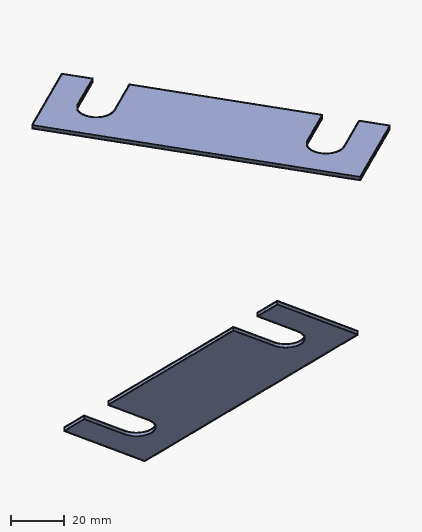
import cadquery as cq

length = 127.0
width = 38.1
thickness = 1.5

slot_width = 14.2
slot_spacing = 88.9
slot_center_depth = width / 2


def open_slot(center_x):
    """Cutter for one slot: a round end joined to a straight run out to the +Y edge."""
    center_y = width / 2 - slot_center_depth
    round_end = cq.Workplane("XY").center(center_x, center_y).circle(slot_width / 2).extrude(thickness)
    straight_run = (
        cq.Workplane("XY")
        .center(center_x, center_y + slot_center_depth / 2)
        .rect(slot_width, slot_center_depth)
        .extrude(thickness)
    )
    return round_end.union(straight_run)


result = cq.Workplane("XY").rect(length, width).extrude(thickness)
for side in (-1, 1):
    result = result.cut(open_slot(side * slot_spacing / 2))